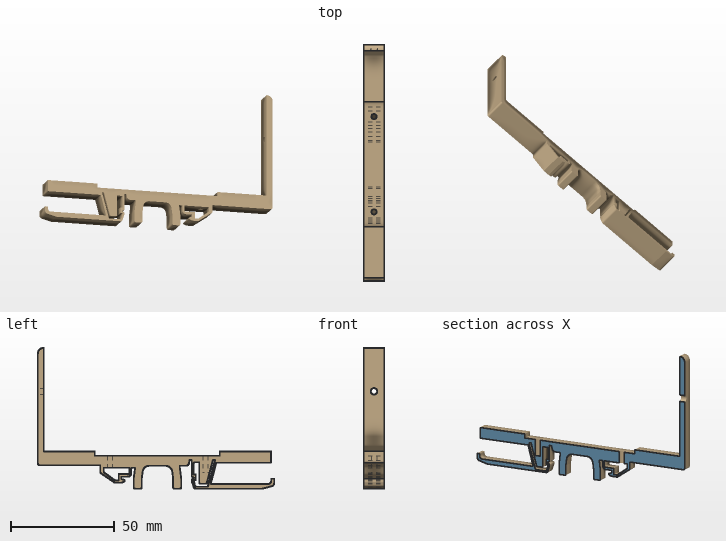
import cadquery as cq
import math


WIDTH = 10.0
LENGTH = 114.1
HEIGHT = 68.0

UPRIGHT_THICKNESS = 3.0
UPRIGHT_TIP_RADIUS = 2.8
UPRIGHT_HEEL_RADIUS = 0.9
BEAM_TOP = 18.0
BEAM_END = 112.6
BEAM_END_RADIUS = 0.5
REAR_UNDERSIDE = 11.3
MIDDLE_UNDERSIDE = 11.0
FRONT_UNDERSIDE = 12.45
RECESS_START = 27.6
RECESS_END = 87.8
RECESS_FLOOR = 16.0
MIDDLE_END = 73.1
MIDDLE_END_TOP = 13.0
MIDDLE_END_RADIUS = 1.8

CLIP_START = 30.1
CLIP_ROOF = 10.1
CLIP_KNEE = 7.7
CLIP_BOTTOM = 2.85
CLIP_TOE = 37.2
CLIP_POST = 39.0
CLIP_POST_THICKNESS = 1.4
CLIP_BARB_TIP = 43.0
CLIP_BARB_HEIGHT = 3.95
CLIP_BARB_TOP = 4.75
CLIP_WALL_BACK = 44.2
CLIP_WALL_THICKNESS = 1.0
CLIP_SHELF_BOTTOM = 5.8
CLIP_SHELF_TOP = 7.2
CLIP_OUTER_RADIUS = 1.8
CLIP_INNER_RADIUS = 0.5
CLIP_CAVITY_START = 31.85
CLIP_CAVITY_KNEE = 8.0
CLIP_CAVITY_FLOOR = 4.1
CLIP_CAVITY_TOE = 37.25
CLIP_GAP_RADIUS = 0.4

LEG_CENTRE = 57.75
LEG_TIP_INNER = 7.5
LEG_TIP_OUTER = 11.5
LEG_ROOT_INNER = 6.7
LEG_ROOT_OUTER = 10.85
LEG_TAPER_HEIGHT = 5.1
LEG_ROOT_RADIUS = 3.0
LEG_TIP_RADIUS = 0.7

LEVER_BACK = 74.2
LEVER_SLOT_START = 73.3
LEVER_ROOT = 13.8
LEVER_KNEE = 3.8
LEVER_HEEL = 75.5
LEVER_HEEL_RADIUS = 1.0
TONGUE_TOP = 2.4
TONGUE_SLOPE_START = 108.4
TONGUE_SLOPE_HEIGHT = 1.5
TONGUE_NOSE_RADIUS = 1.7
TONGUE_LIP_THICKNESS = 1.5
TONGUE_LIP_TOP = 4.85
TONGUE_LIP_RADIUS = 1.4
STRUT_BOTTOM = 83.5
STRUT_TOP = 86.5
NOTCH_TIP = 75.4
NOTCH_HEIGHT = 5.2
NOTCH_HALF_HEIGHT = 0.75

CHANNEL_BACK = 75.2
CHANNEL_ROOF = 12.7
CHANNEL_FLOOR = 1.0
CHANNEL_HEEL = 76.05
CHANNEL_TOE = 82.0
CHANNEL_CORNER_RADIUS = 0.5
CHANNEL_RIB_FACE = 76.25
CHANNEL_RIB_BOTTOM = 4.15
CHANNEL_RIB_TOP = 6.95
WEDGE_BACK = 77.9
WEDGE_BOTTOM = 2.4
WEDGE_TOE = 81.5
WEDGE_ROOT = 84.55
WEDGE_RADIUS = 0.5
CHANNEL_ROOT = 85.5

UPRIGHT_HOLE_DIAMETER = 3.0
UPRIGHT_HOLE_HEIGHT = 47.0
BEAM_HOLE_DIAMETER = 2.5
BEAM_HOLE_POSITIONS = (34.75, 80.75)
BEAM_HOLE_DEPTH = 8.0


def corner_trim(previous, corner, following):
    """Return the start, middle and end of the arc that rounds one corner."""
    along, height, radius = corner
    back = (previous[0] - along, previous[1] - height)
    ahead = (following[0] - along, following[1] - height)
    back_length = math.hypot(*back)
    ahead_length = math.hypot(*ahead)
    back = (back[0] / back_length, back[1] / back_length)
    ahead = (ahead[0] / ahead_length, ahead[1] / ahead_length)
    half_angle = math.acos(back[0] * ahead[0] + back[1] * ahead[1]) / 2
    trim = radius / math.tan(half_angle)
    apex = radius / math.sin(half_angle) - radius
    bisector = (back[0] + ahead[0], back[1] + ahead[1])
    bisector_length = math.hypot(*bisector)
    start = (along + back[0] * trim, height + back[1] * trim)
    middle = (along + bisector[0] / bisector_length * apex, height + bisector[1] / bisector_length * apex)
    end = (along + ahead[0] * trim, height + ahead[1] * trim)
    return start, middle, end


def prism(corners):
    """Extrude an outline of (along, height[, radius]) corners over the full width."""
    plane = cq.Plane(origin=(WIDTH / 2, 0, 0), xDir=(0, -1, 0), normal=(-1, 0, 0))
    outline = cq.Workplane(plane).moveTo(*corners[0][:2])
    for index, corner in enumerate(corners[1:], start=1):
        if len(corner) == 2:
            outline = outline.lineTo(*corner)
        else:
            following = corners[(index + 1) % len(corners)]
            start, middle, end = corner_trim(corners[index - 1], corner, following)
            outline = outline.lineTo(*start).threePointArc(middle, end)
    return outline.close().extrude(WIDTH)


def make_beam():
    """Upright and beam, with the long shallow recess in the top."""
    return prism([
        (UPRIGHT_THICKNESS, HEIGHT),
        (0, HEIGHT, UPRIGHT_TIP_RADIUS),
        (0, REAR_UNDERSIDE, UPRIGHT_HEEL_RADIUS),
        (CLIP_START, REAR_UNDERSIDE),
        (CLIP_START, MIDDLE_UNDERSIDE),
        (MIDDLE_END, MIDDLE_UNDERSIDE, MIDDLE_END_RADIUS),
        (MIDDLE_END, MIDDLE_END_TOP),
        (LEVER_SLOT_START, LEVER_ROOT),
        (LEVER_BACK, LEVER_ROOT),
        (LEVER_BACK, FRONT_UNDERSIDE),
        (BEAM_END, FRONT_UNDERSIDE, BEAM_END_RADIUS),
        (BEAM_END, BEAM_TOP),
        (RECESS_END, BEAM_TOP),
        (RECESS_END, RECESS_FLOOR),
        (RECESS_START, RECESS_FLOOR),
        (RECESS_START, BEAM_TOP),
        (UPRIGHT_THICKNESS, BEAM_TOP),
    ])


def make_clip():
    """Thin sprung clip with a barbed toe, hanging below the beam."""
    wall_front = CLIP_WALL_BACK + CLIP_WALL_THICKNESS
    post_front = CLIP_POST + CLIP_POST_THICKNESS
    leg_root = LEG_CENTRE - LEG_ROOT_OUTER
    shell = prism([
        (CLIP_START, MIDDLE_UNDERSIDE),
        (CLIP_START, CLIP_KNEE),
        (CLIP_TOE, CLIP_BOTTOM),
        (post_front, CLIP_BOTTOM),
        (CLIP_BARB_TIP, CLIP_BARB_HEIGHT, CLIP_INNER_RADIUS),
        (post_front, CLIP_BARB_TOP),
        (post_front, CLIP_SHELF_BOTTOM),
        (wall_front, CLIP_SHELF_BOTTOM, CLIP_OUTER_RADIUS),
        (wall_front, CLIP_ROOF, CLIP_GAP_RADIUS),
        (leg_root, CLIP_ROOF),
        (leg_root, MIDDLE_UNDERSIDE),
    ])
    cavity = prism([
        (CLIP_CAVITY_START, CLIP_ROOF),
        (CLIP_CAVITY_START, CLIP_CAVITY_KNEE, CLIP_INNER_RADIUS),
        (CLIP_CAVITY_TOE, CLIP_CAVITY_FLOOR),
        (CLIP_POST, CLIP_CAVITY_FLOOR),
        (CLIP_POST, CLIP_SHELF_TOP),
        (CLIP_WALL_BACK, CLIP_SHELF_TOP, CLIP_INNER_RADIUS),
        (CLIP_WALL_BACK, CLIP_ROOF),
    ])
    return shell.cut(cavity)


def make_leg(side):
    """Leg on one side of the leg centre line, with a rounded inner root."""
    root_end = LEG_ROOT_INNER - LEG_ROOT_RADIUS
    corners = [
        (root_end, RECESS_FLOOR),
        (root_end, MIDDLE_UNDERSIDE),
        (LEG_ROOT_INNER, MIDDLE_UNDERSIDE, LEG_ROOT_RADIUS),
        (LEG_TIP_INNER, LEG_TAPER_HEIGHT),
        (LEG_TIP_INNER, 0, LEG_TIP_RADIUS),
        (LEG_TIP_OUTER, 0, LEG_TIP_RADIUS),
        (LEG_TIP_OUTER, LEG_TAPER_HEIGHT),
        (LEG_ROOT_OUTER, CLIP_ROOF),
        (LEG_ROOT_OUTER, RECESS_FLOOR),
    ]
    return prism([(LEG_CENTRE + side * offset, *rest) for offset, *rest in corners])


def make_lever():
    """Lever body with its long tongue, raised lip and slanted strut."""
    lip_back = LENGTH - TONGUE_LIP_THICKNESS
    return prism([
        (LEVER_BACK, LEVER_ROOT),
        (LEVER_BACK, NOTCH_HEIGHT + NOTCH_HALF_HEIGHT),
        (NOTCH_TIP, NOTCH_HEIGHT),
        (LEVER_BACK, NOTCH_HEIGHT - NOTCH_HALF_HEIGHT),
        (LEVER_BACK, LEVER_KNEE),
        (LEVER_HEEL, 0, LEVER_HEEL_RADIUS),
        (TONGUE_SLOPE_START, 0),
        (LENGTH, TONGUE_SLOPE_HEIGHT, TONGUE_NOSE_RADIUS),
        (LENGTH, TONGUE_LIP_TOP),
        (lip_back, TONGUE_LIP_TOP),
        (lip_back, TONGUE_TOP, TONGUE_LIP_RADIUS),
        (STRUT_BOTTOM, TONGUE_TOP),
        (STRUT_TOP, LEVER_ROOT),
    ])


def make_channel():
    """Clearance inside the lever that leaves a wedge hanging from the beam."""
    return prism([
        (WEDGE_BACK, CHANNEL_ROOF),
        (CHANNEL_BACK, CHANNEL_ROOF, CHANNEL_CORNER_RADIUS),
        (CHANNEL_BACK, CHANNEL_RIB_TOP),
        (CHANNEL_RIB_FACE, CHANNEL_RIB_TOP),
        (CHANNEL_RIB_FACE, CHANNEL_RIB_BOTTOM),
        (CHANNEL_BACK, CHANNEL_RIB_BOTTOM),
        (CHANNEL_HEEL, CHANNEL_FLOOR, CHANNEL_CORNER_RADIUS),
        (CHANNEL_TOE, CHANNEL_FLOOR, CHANNEL_CORNER_RADIUS),
        (CHANNEL_ROOT, LEVER_ROOT),
        (WEDGE_ROOT, LEVER_ROOT),
        (WEDGE_TOE, WEDGE_BOTTOM, WEDGE_RADIUS),
        (WEDGE_BACK, WEDGE_BOTTOM, WEDGE_RADIUS),
    ])


def make_holes():
    """Cross hole through the upright and blind holes down into the beam."""
    holes = cq.Workplane("XZ").center(0, UPRIGHT_HOLE_HEIGHT)
    holes = holes.circle(UPRIGHT_HOLE_DIAMETER / 2).extrude(UPRIGHT_THICKNESS)
    beam_holes = cq.Workplane("XY", origin=(0, 0, RECESS_FLOOR))
    beam_holes = beam_holes.pushPoints([(0, -along) for along in BEAM_HOLE_POSITIONS])
    return holes.union(beam_holes.circle(BEAM_HOLE_DIAMETER / 2).extrude(-BEAM_HOLE_DEPTH))


bracket = make_beam().union(make_clip())
for leg_side in (-1, 1):
    bracket = bracket.union(make_leg(leg_side))
bracket = bracket.union(make_lever()).cut(make_channel())
result = bracket.cut(make_holes())